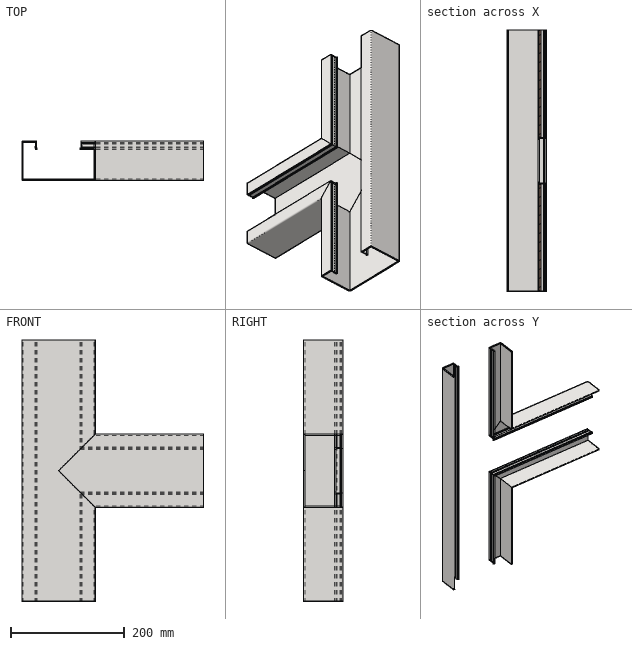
import cadquery as cq

main_length = 460.0
overall_width = 320.0
channel_width = 129.5
channel_depth = 70.0
wall = 2.55
corner_radius = 2.8
flange_width = 25.8

lip_thickness = 1.5
lip_depth = 15.0
groove_start = 4.0
groove_end = 7.0
groove_cut = 0.5
barb_peak = 11.0
barb_end = 14.0
barb_height = 1.0
barb_end_height = 0.5
lean = 0.25
bead_start = 13.0
bead_height = 1.5

half_width = channel_width / 2
slot_half_width = half_width - flange_width
branch_reach = overall_width - half_width


def lip_points():
    """Lip of the positive flange as (across, depth) points, from below the slot's edge to the flange."""
    slot_face = slot_half_width
    wall_face = slot_face + lip_thickness
    bead_face = slot_face - bead_height
    faces_and_depths = [
        (slot_face, groove_start),
        (slot_face + lean, bead_start),
        (bead_face, bead_start),
        (bead_face, lip_depth),
        (wall_face, lip_depth),
        (wall_face + barb_end_height, barb_end),
        (wall_face + barb_height, barb_peak),
        (wall_face, groove_end),
        (wall_face - groove_cut, (groove_start + groove_end) / 2),
        (wall_face, groove_start),
        (wall_face, wall),
    ]
    return [(face, channel_depth - depth) for face, depth in faces_and_depths]


def channel(length):
    """C-shaped channel with lips, extruded up from Z = 0, its closed face on Y = 0."""
    inner_half = half_width - wall
    half_outline = [
        (half_width, 0),
        (half_width, channel_depth),
        (slot_half_width, channel_depth),
        *lip_points(),
        (inner_half, channel_depth - wall),
        (inner_half, wall),
    ]
    mirrored_half = [(-across, depth) for across, depth in reversed(half_outline)]
    section = cq.Workplane("XY").polyline(half_outline + mirrored_half).close().extrude(length)
    for side in (-half_width, half_width):
        for face in (0, channel_depth):
            outer_corner = cq.selectors.NearestToPointSelector((side, face, length / 2))
            section = section.edges("|Z").edges(outer_corner).fillet(corner_radius)
    return section


def mitre_wedge():
    """Right-angled wedge that opens along +X from the main channel's axis."""
    return (
        cq.Workplane("XZ")
        .polyline([(0, 0), (branch_reach, branch_reach), (branch_reach, -branch_reach)])
        .close()
        .extrude(-channel_depth)
    )


main_channel = channel(main_length).translate((0, 0, -main_length / 2)).cut(mitre_wedge())

branch_channel = channel(branch_reach).rotate((0, 0, 0), (0, 1, 0), 90).intersect(mitre_wedge())

result = cq.Compound.makeCompound([main_channel.val(), branch_channel.val()])